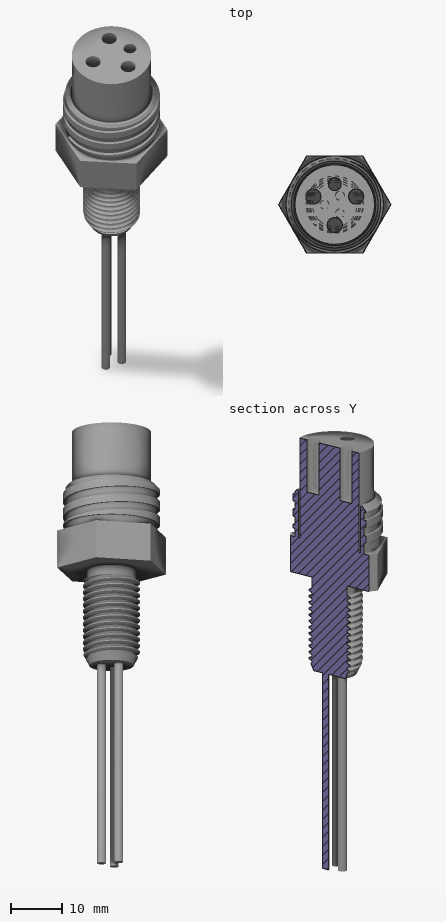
import cadquery as cq
import math

total_height = 87.0
wire_length = 40.0
screw_height = 19.05
hex_height = 7.5
collar_height = 9.75

screw_bottom = wire_length
hex_bottom = screw_bottom + screw_height
hex_top = hex_bottom + hex_height
collar_top = hex_top + collar_height

insert_diameter = 15.5
insert_height = total_height - collar_top
contact_hole_diameter = 3.0
contact_hole_centres = [(-4.2, 1.6), (4.2, 1.6), (0, -4.0)]
key_hole_diameter = 2.5
key_hole_centre = (0, 4.0)

collar_diameter = 17.9
collar_bore_diameter = 16.0
collar_chamfer = 0.5
coarse_thread_diameter = 19.0
coarse_pitch = 3.1
coarse_thread_width = coarse_pitch / 2
collar_foot_height = 1.6
coarse_thread_bottom = hex_top + collar_foot_height
coarse_crest_at_x = coarse_thread_bottom

hex_across_flats = 19.0

stem_diameter = 9.5
stem_end_diameter = 8.7
fine_thread_diameter = 11.1
neck_height = 1.9
fine_thread_top = hex_bottom - neck_height
fine_turns = 13.5
fine_pitch = (fine_thread_top - screw_bottom) / fine_turns
fine_top_crest_drop = 0.9
fine_crest_at_x = fine_thread_top - fine_top_crest_drop
fine_crest_width = 0.2
fine_root_width = 1.05
end_taper_height = 2.5

wire_diameter = 1.7
wire_circle_radius = 2.0
wire_count = 3

thread_embed = 0.1
envelope_clearance = 0.1


def cylinder(diameter, bottom, top):
    return cq.Workplane("XY").workplane(offset=bottom).circle(diameter / 2).extrude(top - bottom)


def turned(points):
    """Solid of revolution about Z from (radius, height) points."""
    return cq.Workplane("XZ").polyline(points).close().revolve(360, (0, 0), (0, 1))


def threaded(core_diameter, outer_diameter, pitch, root_width, crest_width, crest_at_x, envelope):
    """Core with a right-handed helical ridge, trimmed to the envelope.

    The middle of the ridge crosses the +X side at crest_at_x, and at every pitch above and below it.
    """
    box = envelope.val().BoundingBox()
    turns_below = math.ceil((crest_at_x - box.zmin) / pitch) + 1
    turns_above = math.ceil((box.zmax - crest_at_x) / pitch) + 1
    turns = turns_below + turns_above
    start = crest_at_x - turns_below * pitch
    end = start + turns * pitch

    inner = core_diameter / 2 - thread_embed
    outer = outer_diameter / 2
    path = cq.Wire.makeHelix(pitch, pitch * turns, inner, cq.Vector(0, 0, start))
    profile = cq.Workplane("XZ").polyline([
        (inner, start - root_width / 2),
        (outer, start - crest_width / 2),
        (outer, start + crest_width / 2),
        (inner, start + root_width / 2),
    ]).close()
    ridge = profile.sweep(cq.Workplane(obj=path), isFrenet=True)
    core = cylinder(core_diameter, start - pitch, end + pitch)
    return core.union(ridge).intersect(envelope)


def make_collar():
    """Collar with its coarse thread, both trimmed by a 45 degree cone at the top."""
    top_radius = collar_diameter / 2 - collar_chamfer
    envelope_radius = coarse_thread_diameter / 2 + envelope_clearance
    cone_bottom = collar_top - (envelope_radius - top_radius)
    envelope = turned([
        (0, coarse_thread_bottom),
        (envelope_radius, coarse_thread_bottom),
        (envelope_radius, cone_bottom),
        (top_radius, collar_top),
        (0, collar_top),
    ])
    thread = threaded(collar_diameter, coarse_thread_diameter, coarse_pitch,
                      coarse_thread_width, coarse_thread_width, coarse_crest_at_x, envelope)
    foot = cylinder(collar_diameter, hex_top, coarse_thread_bottom)
    bore = cylinder(collar_bore_diameter, hex_top, collar_top)
    return thread.union(foot).cut(bore)


def make_stem():
    """Screw stem with its fine thread, both trimmed by the tapered lower end, and a plain neck."""
    envelope_radius = fine_thread_diameter / 2 + envelope_clearance
    envelope = turned([
        (0, screw_bottom),
        (stem_end_diameter / 2, screw_bottom),
        (envelope_radius, screw_bottom + end_taper_height),
        (envelope_radius, fine_thread_top),
        (0, fine_thread_top),
    ])
    thread = threaded(stem_diameter, fine_thread_diameter, fine_pitch,
                      fine_root_width, fine_crest_width, fine_crest_at_x, envelope)
    neck = cylinder(stem_diameter, fine_thread_top, hex_bottom)
    return thread.union(neck)


def make_hexagon():
    across_corners = hex_across_flats / math.cos(math.pi / 6)
    return cq.Workplane("XY").workplane(offset=hex_bottom).polygon(6, across_corners).extrude(hex_height)


def make_insert():
    insert = cylinder(insert_diameter, hex_top, total_height)
    face = cq.Workplane("XY").workplane(offset=total_height)
    contacts = face.pushPoints(contact_hole_centres).circle(contact_hole_diameter / 2).extrude(-insert_height)
    key = face.center(*key_hole_centre).circle(key_hole_diameter / 2).extrude(-insert_height)
    return insert.cut(contacts).cut(key)


def make_wires():
    """Wires on a circle, the first one on the -X side."""
    return (
        cq.Workplane("XY")
        .polarArray(wire_circle_radius, 180, 360, wire_count)
        .circle(wire_diameter / 2)
        .extrude(screw_bottom)
    )


body = make_hexagon()
for section in (make_collar(), make_insert(), make_stem(), make_wires()):
    body = body.union(section)

result = body.solids()